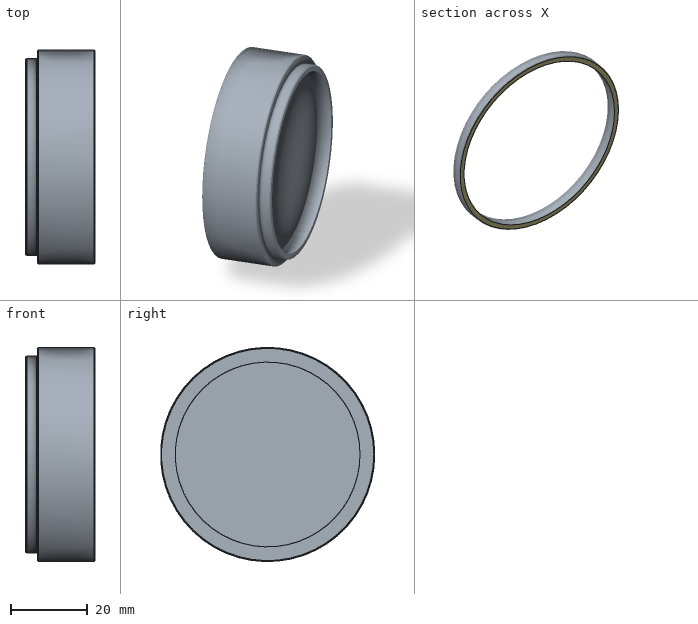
import cadquery as cq

overall_length = 18.03
body_diameter = 55.88
collar_diameter = 51.45
relief_diameter = 51.0
clear_diameter = 48.2

collar_length = 3.1
relief_width = 0.3
recess_depth = 3.85
body_chamfer = 0.25
collar_chamfer = 0.28

front_x = -overall_length / 2
back_x = overall_length / 2
shoulder_x = front_x + collar_length
relief_x = shoulder_x - relief_width
lens_x = front_x + recess_depth

body_radius = body_diameter / 2
collar_radius = collar_diameter / 2
relief_radius = relief_diameter / 2
clear_radius = clear_diameter / 2


def make_housing():
    """Ring with a stepped-down collar at the front and a straight bore through it."""
    profile = (
        cq.Workplane("XY")
        .moveTo(front_x, clear_radius)
        .lineTo(front_x, collar_radius - collar_chamfer)
        .lineTo(front_x + collar_chamfer, collar_radius)
        .lineTo(relief_x, collar_radius)
        .lineTo(relief_x, relief_radius)
        .lineTo(shoulder_x, relief_radius)
        .lineTo(shoulder_x, body_radius - body_chamfer)
        .lineTo(shoulder_x + body_chamfer, body_radius)
        .lineTo(back_x - body_chamfer, body_radius)
        .lineTo(back_x, body_radius - body_chamfer)
        .lineTo(back_x, clear_radius)
        .close()
    )
    return profile.revolve(360, (0, 0, 0), (1, 0, 0))


def make_lens():
    """Flat-faced disc that fills the bore from the recess floor to the back face."""
    return cq.Workplane("YZ", origin=(lens_x, 0, 0)).circle(clear_radius).extrude(back_x - lens_x)


housing = make_housing()
lens = make_lens()

result = cq.Compound.makeCompound([housing.val(), lens.val()])